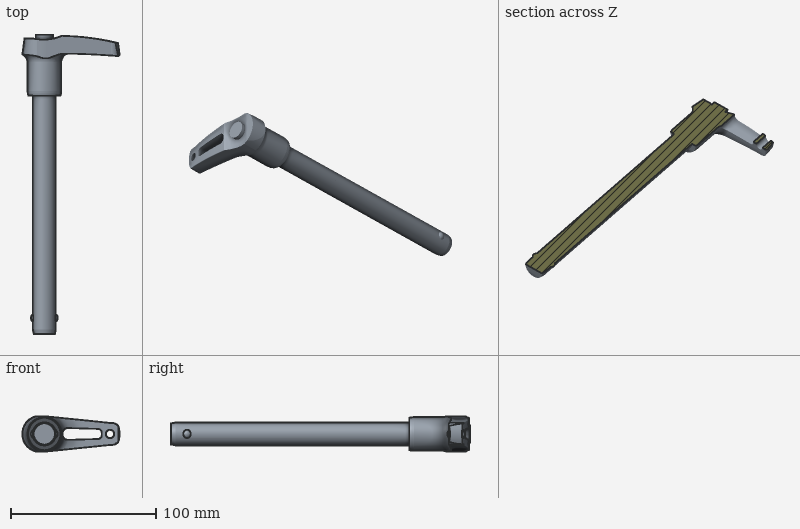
import cadquery as cq
import math


pin_radius = 8.0
pin_length = 164.2
tip_length = 3.3
tip_radius = 7.3
ball_radius = 3.2
ball_reach = 9.25
ball_to_tip = 11.2

collar_radius = 11.7
collar_face_radius = 11.1
collar_rim_radius = 11.5
collar_chamfer_top = 1.4
collar_rim_top = 3.2
flare_start = 23.2
flare_radius = 5.7
flare_top = flare_start + flare_radius
flare_outer_radius = collar_radius + flare_radius

button_radius = 6.0
button_top = 42.0

head_half_width = 12.35
head_end_x = -15.2
head_flat_start_x = -4.9
head_flat_end_x = -1.9
shoulder_length = 3.1
arm_start_x = head_flat_end_x + shoulder_length
tip_corner_x = 45.9
tip_half_width = 7.6
tip_end_x = 51.9
tip_corner_depth = 4.6
arm_taper_length = tip_corner_x - head_flat_end_x - shoulder_length / 2
taper_angle = math.atan((head_half_width - tip_half_width) / arm_taper_length)
arm_start_half_width = head_half_width - shoulder_length / 2 * math.tan(taper_angle)

head_top = 39.4
saddle_start_x = -7.5
saddle_middle_x = 1.2
saddle_bottom = 38.6
hump_x = 12.0
hump_top = 41.3
handle_bend_x = 10.0
arm_middle_x = 32.0
arm_middle_top = 39.8
arm_middle_bottom = 28.4
tip_top = 36.0
tip_bottom = 27.2
tip_bevel_length = 1.1
tip_bevel_height = 1.0
tip_bevel_top = tip_bottom + tip_bevel_height
top_edge_rounding = 0.5

end_tilt = 7.5
head_face_base = 28.4
end_face_radius = 14.3

slot_start_x = 12.6
slot_end_x = 39.4
slot_start_half_width = 4.1
slot_end_half_width = 3.3
slot_start_corner = 3.4
slot_end_corner = 2.4
hole_x = 45.2
hole_radius = 2.8


def extrude_along_y(sketch, start, end):
    """Extrude an outline drawn in X and Z from Y = start to Y = end."""
    return sketch.extrude(start - end).translate((0, start, 0))


def make_pin():
    """Shaft with a tapered tip and two locking balls standing out along X."""
    profile = (
        cq.Workplane("XY")
        .moveTo(0, -pin_length)
        .lineTo(tip_radius, -pin_length)
        .lineTo(pin_radius, tip_length - pin_length)
        .lineTo(pin_radius, flare_start)
        .lineTo(0, flare_start)
        .close()
    )
    pin = profile.revolve(360, (0, 0, 0), (0, 1, 0))
    for side in (-1, 1):
        ball_x = side * (ball_reach - ball_radius)
        ball = cq.Workplane("XY").sphere(ball_radius)
        pin = pin.union(ball.translate((ball_x, ball_to_tip - pin_length, 0)))
    return pin


def make_collar():
    """Collar body with a concave flare widening into the underside of the handle."""
    diagonal = flare_radius * math.cos(math.pi / 4)
    profile = (
        cq.Workplane("XY")
        .lineTo(collar_face_radius, 0)
        .lineTo(collar_rim_radius, collar_chamfer_top)
        .lineTo(collar_radius, collar_rim_top)
        .lineTo(collar_radius, flare_start)
        .threePointArc(
            (flare_outer_radius - diagonal, flare_start + diagonal),
            (flare_outer_radius, flare_top),
        )
        .lineTo(0, flare_top)
        .close()
    )
    return profile.revolve(360, (0, 0, 0), (0, 1, 0))


def make_plan(start, end):
    """Prism of the handle outline: round head, tapering arm and rounded tip."""
    tip_flat = tip_half_width - tip_corner_depth
    corner = math.cos(math.pi / 4)
    corner_x = tip_corner_x + (tip_end_x - tip_corner_x) * corner
    corner_z = tip_flat + tip_corner_depth * corner
    outline = (
        cq.Workplane("XZ")
        .moveTo(head_flat_start_x, head_half_width)
        .lineTo(head_flat_end_x, head_half_width)
        .tangentArcPoint((arm_start_x, arm_start_half_width), relative=False)
        .lineTo(tip_corner_x, tip_half_width)
        .threePointArc((corner_x, corner_z), (tip_end_x, tip_flat))
        .lineTo(tip_end_x, -tip_flat)
        .threePointArc((corner_x, -corner_z), (tip_corner_x, -tip_half_width))
        .lineTo(arm_start_x, -arm_start_half_width)
        .tangentArcPoint((head_flat_end_x, -head_half_width), relative=False)
        .lineTo(head_flat_start_x, -head_half_width)
        .threePointArc((head_end_x, 0), (head_flat_start_x, head_half_width))
        .close()
    )
    return extrude_along_y(outline, start, end)


def make_side_profile():
    """Side outline of the handle, spread over the full head width."""
    profile = (
        cq.Workplane("XY")
        .moveTo(head_end_x, flare_top)
        .lineTo(handle_bend_x, flare_top)
        .threePointArc((arm_middle_x, arm_middle_bottom), (tip_end_x - tip_bevel_length, tip_bottom))
        .lineTo(tip_end_x, tip_bevel_top)
        .lineTo(tip_end_x, tip_top)
        .threePointArc((arm_middle_x, arm_middle_top), (hump_x, hump_top))
        .threePointArc((saddle_middle_x, saddle_bottom), (saddle_start_x, head_top))
        .lineTo(head_end_x, head_top)
        .close()
    )
    return profile.extrude(head_half_width, both=True)


def make_openings():
    """Tapering slot and round hole, both through the arm along Y."""
    slot = (
        cq.Workplane("XZ")
        .moveTo(slot_start_x, slot_start_half_width)
        .lineTo(slot_end_x, slot_end_half_width)
        .lineTo(slot_end_x, -slot_end_half_width)
        .lineTo(slot_start_x, -slot_start_half_width)
        .close()
    )
    slot = extrude_along_y(slot, 0, button_top)
    slot = slot.edges("|Y").edges("<X").fillet(slot_start_corner)
    slot = slot.edges("|Y").edges(">X").fillet(slot_end_corner)
    hole = extrude_along_y(cq.Workplane("XZ").center(hole_x, 0).circle(hole_radius), 0, button_top)
    return slot.union(hole)


def make_button():
    """Round push button standing above the saddle of the handle."""
    button = cq.Workplane("XZ").circle(button_radius)
    return extrude_along_y(button, flare_start, button_top)


def make_end_limit(base_x, base_y, direction):
    """Leaning block whose round end, facing along X in the given direction, is an end face."""
    round_start = -direction * end_face_radius
    far_end = -direction * 2 * tip_end_x
    block = (
        cq.Workplane("XZ")
        .moveTo(round_start, end_face_radius)
        .threePointArc((0, 0), (round_start, -end_face_radius))
        .lineTo(far_end, -end_face_radius)
        .lineTo(far_end, end_face_radius)
        .close()
        .extrude(button_top, both=True)
    )
    return block.rotate((0, 0, 0), (0, 0, 1), direction * end_tilt).translate((base_x, base_y, 0))


def make_handle():
    """Handle and collar together, trimmed to the handle outline and its sloping ends."""
    body = make_collar().union(make_side_profile())
    body = body.intersect(make_plan(0, button_top))
    body = body.intersect(make_end_limit(head_end_x, head_face_base, -1))
    body = body.intersect(make_end_limit(tip_end_x, tip_bevel_top, 1))
    for side in (-1, 1):
        edge_box = cq.selectors.BoxSelector(
            (hump_x, tip_top, side * tip_half_width),
            (tip_corner_x, hump_top, side * head_half_width),
        )
        body = body.edges(edge_box).fillet(top_edge_rounding)
    return body


result = make_handle().union(make_pin()).union(make_button()).cut(make_openings())